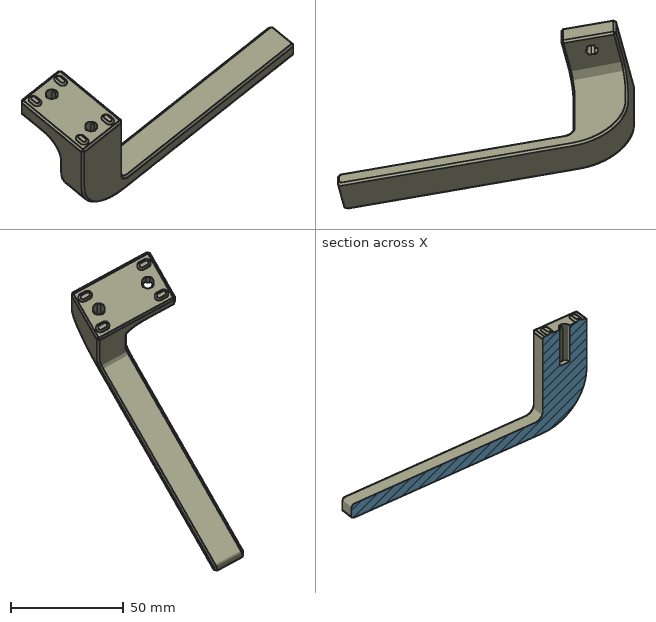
import cadquery as cq

block_length = 40.0
block_width = 25.0
plate_thickness = 10.0
body_height = 53.0

arm_width = 15.0
arm_thickness = 8.0
total_depth = 132.5
bend_outer_radius = block_width
bend_inner_radius = 4.0
arm_end_radius = 2.0
plate_fillet_radius = 10.0

edge_chamfer = 1.0

hole_diameter = 5.4
hole_spacing = 25.0
blind_hole_depth = 20.0

rib_count = 3
rib_radius = 1.0
rib_tip_radius = 0.4
rib_protrusion = 0.6
rib_top_gap = 0.6
rib_taper_length = 2.0

pad_length = 6.4
pad_width = 4.0
pad_height = 1.0
pad_root = 1.0
pad_spacing_x = 30.0
pad_spacing_y = 16.0

left = -block_length / 2
right = block_length / 2
front = -block_width / 2
back = block_width / 2
bottom = -body_height


def side_profile():
    """L-shaped outline in the YZ plane, extruded over the full block length."""
    outline = (
        cq.Workplane("YZ", origin=(left, 0, 0))
        .moveTo(front, 0)
        .lineTo(back, 0)
        .lineTo(back, bottom + arm_thickness + bend_inner_radius)
        .radiusArc((back + bend_inner_radius, bottom + arm_thickness), -bend_inner_radius)
        .lineTo(front + total_depth, bottom + arm_thickness)
        .lineTo(front + total_depth, bottom)
        .lineTo(front + bend_outer_radius, bottom)
        .radiusArc((front, bottom + bend_outer_radius), bend_outer_radius)
        .close()
    )
    profile = outline.extrude(block_length)
    return profile.edges("|X and >Y").fillet(arm_end_radius)


def end_profile():
    """Plate and arm outline in the XZ plane, extruded over the full depth."""
    arm_left = right - arm_width
    outline = (
        cq.Workplane("XZ", origin=(0, front, 0))
        .moveTo(left, 0)
        .lineTo(right, 0)
        .lineTo(right, bottom)
        .lineTo(arm_left, bottom)
        .lineTo(arm_left, -plate_thickness - plate_fillet_radius)
        .radiusArc((arm_left - plate_fillet_radius, -plate_thickness), -plate_fillet_radius)
        .lineTo(left, -plate_thickness)
        .close()
    )
    return outline.extrude(-total_depth)


def chamfered_body():
    """Common volume of the two profiles with every sharp edge chamfered."""
    body = side_profile().intersect(end_profile())
    return body.edges().chamfer(edge_chamfer)


def grip_rib(depth):
    """Round post overlapping the hole wall, with a conical lead-in at its upper end."""
    centre_distance = hole_diameter / 2 - rib_protrusion + rib_radius
    taper_bottom = -rib_top_gap - rib_taper_length
    post_length = depth + taper_bottom
    lead_in = cq.Solid.makeCone(rib_radius, rib_tip_radius, rib_taper_length)
    post = cq.Workplane("XY").circle(rib_radius).extrude(-post_length)
    return post.union(cq.Workplane(lead_in)).translate((centre_distance, 0, taper_bottom))


def screw_hole(x, depth):
    """Cutting tool for a vertical hole that leaves evenly spaced ribs on the wall."""
    hole = cq.Workplane("XY").circle(hole_diameter / 2).extrude(-depth)
    rib = grip_rib(depth)
    for index in range(rib_count):
        angle = index * 360 / rib_count
        hole = hole.cut(rib.rotate((0, 0, 0), (0, 0, 1), angle))
    return hole.translate((x, 0, 0))


def locating_pads():
    """Oblong pads rooted in the mounting face and chamfered over their full height."""
    return (
        cq.Workplane("XY")
        .workplane(offset=-pad_root)
        .rarray(pad_spacing_x, pad_spacing_y, 2, 2)
        .slot2D(pad_length, pad_width)
        .extrude(pad_root + pad_height)
        .faces(">Z")
        .edges()
        .chamfer(pad_height)
    )


result = chamfered_body()
result = result.cut(screw_hole(-hole_spacing / 2, plate_thickness))
result = result.cut(screw_hole(hole_spacing / 2, blind_hole_depth))
result = result.union(locating_pads())